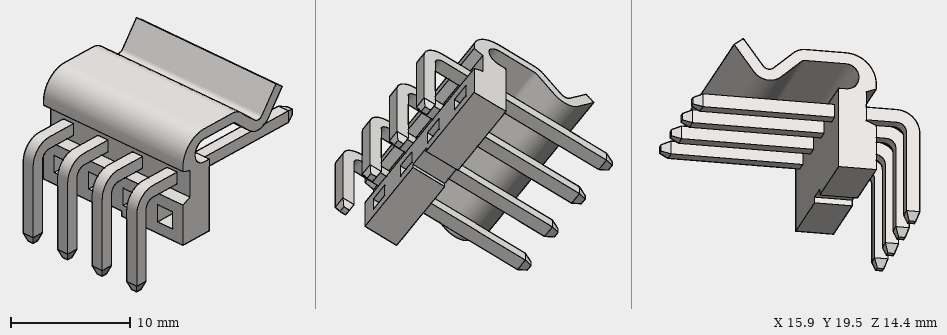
import cadquery as cq
import math


pin_count = 4
pin_pitch = 3.95
pin_size = 1.15
pin_reach = 19.45
pin_top = 9.76
pin_bend_radius = 2.0
tip_length = 0.8
tip_size = pin_size / 2
last_pin_lift = 0.08

body_width = 15.95
body_front = -5.65
body_back = -2.4
body_bottom = 3.68
body_top = 10.68
recess_depth = 0.88
recess_bottom = 8.0
recess_top = 10.56
lower_flare = 0.39
upper_flare = 0.31

window_size = 1.67
window_bottom = 4.8
window_depth = 2.25
notch_width = 1.93
notch_height = 0.5

arm_thickness = 1.0
arm_top = 13.9
arm_tip_top = 14.43
root_inner_radius = (arm_top - arm_thickness - body_top) / 2
root_outer_radius = 2.63
root_y = body_front + root_outer_radius
arm_bend_y = 0.45
arm_bend_radius = 1.1
arm_slope_length = 2.25
arm_down_angle = 41.0
arm_up_angle = 53.5


def make_body():
    """Housing block together with the thick curved root of the arm."""
    recess_y = body_front + recess_depth
    arm_underside = arm_top - arm_thickness
    outer_center_z = arm_top - root_outer_radius
    inner_center_z = body_top + root_inner_radius
    diagonal = root_outer_radius * math.sqrt(0.5)
    return (
        cq.Workplane("YZ")
        .moveTo(body_back, body_bottom)
        .lineTo(body_front, body_bottom)
        .lineTo(body_front, recess_bottom - lower_flare)
        .lineTo(recess_y, recess_bottom)
        .lineTo(recess_y, recess_top)
        .lineTo(body_front, recess_top + upper_flare)
        .lineTo(body_front, outer_center_z)
        .threePointArc((root_y - diagonal, outer_center_z + diagonal), (root_y, arm_top))
        .lineTo(root_y, arm_underside)
        .threePointArc((root_y - root_inner_radius, inner_center_z), (root_y, body_top))
        .lineTo(body_back, body_top)
        .close()
        .extrude(body_width / 2, both=True)
    )


def make_arm():
    """Bent sheet: flat, sloping down, round a valley, then up to the free edge."""
    down = math.radians(arm_down_angle)
    up = math.radians(arm_up_angle)
    radius = arm_bend_radius
    middle_z = arm_top - arm_thickness / 2

    def crest(angle):
        return (
            arm_bend_y + radius * math.sin(angle),
            middle_z - radius + radius * math.cos(angle),
        )

    slope_start_y, slope_start_z = crest(down)
    slope_end_y = slope_start_y + arm_slope_length * math.cos(down)
    slope_end_z = slope_start_z - arm_slope_length * math.sin(down)
    valley_y = slope_end_y + radius * math.sin(down)
    valley_z = slope_end_z + radius * math.cos(down)

    def valley(angle):
        return (valley_y + radius * math.sin(angle), valley_z - radius * math.cos(angle))

    rise_start_y, rise_start_z = valley(up)
    tip_z = arm_tip_top - arm_thickness / 2 * math.cos(up)
    tip_y = rise_start_y + (tip_z - rise_start_z) / math.tan(up)

    path = (
        cq.Workplane("YZ")
        .moveTo(root_y, middle_z)
        .lineTo(arm_bend_y, middle_z)
        .threePointArc(crest(down / 2), (slope_start_y, slope_start_z))
        .lineTo(slope_end_y, slope_end_z)
        .threePointArc(valley(0), (rise_start_y, rise_start_z))
        .lineTo(tip_y, tip_z)
    )
    return (
        cq.Workplane("XZ", origin=(0, root_y, middle_z))
        .rect(body_width, arm_thickness)
        .sweep(path)
    )


def make_tip(plane):
    """Tapered pin end that starts at the plane and points along its normal."""
    return (
        cq.Workplane(plane)
        .rect(pin_size, pin_size)
        .workplane(offset=tip_length)
        .rect(tip_size, tip_size)
        .loft(ruled=True)
    )


def make_pin():
    """Right-angle pin at X = 0 with its leg pointing down."""
    middle_z = pin_top - pin_size / 2
    leg_y = -pin_reach / 2 + pin_size / 2
    shaft_end_y = pin_reach / 2 - tip_length
    bend_radius = pin_bend_radius - pin_size / 2
    bend_offset = bend_radius * (1 - math.sqrt(0.5))
    path = (
        cq.Workplane("YZ")
        .moveTo(shaft_end_y, middle_z)
        .lineTo(leg_y + bend_radius, middle_z)
        .threePointArc(
            (leg_y + bend_offset, middle_z - bend_offset),
            (leg_y, middle_z - bend_radius),
        )
        .lineTo(leg_y, tip_length)
    )
    shaft_end = cq.Plane(origin=(0, shaft_end_y, middle_z), xDir=(1, 0, 0), normal=(0, 1, 0))
    leg_end = cq.Plane(origin=(0, leg_y, tip_length), xDir=(1, 0, 0), normal=(0, 0, -1))
    shaft = cq.Workplane(shaft_end).rect(pin_size, pin_size).sweep(path)
    return shaft.union(make_tip(shaft_end)).union(make_tip(leg_end))


def make_window():
    """Blind square pocket at X = 0, cut from the front of the housing."""
    return (
        cq.Workplane("XY", origin=(0, body_front, window_bottom))
        .box(window_size, window_depth, window_size, centered=(True, False, False))
    )


def make_notch():
    """Keying notch that runs through the bottom of the housing."""
    return (
        cq.Workplane("XY", origin=(0, body_front, body_bottom))
        .box(notch_width, body_back - body_front, notch_height, centered=(True, False, False))
    )


pin_positions = [(i - (pin_count - 1) / 2) * pin_pitch for i in range(pin_count)]

result = make_body().union(make_arm()).cut(make_notch())
for x in pin_positions:
    lift = last_pin_lift if x == pin_positions[-1] else 0
    result = result.cut(make_window().translate((x, 0, 0)))
    result = result.union(make_pin().translate((x, 0, lift)))